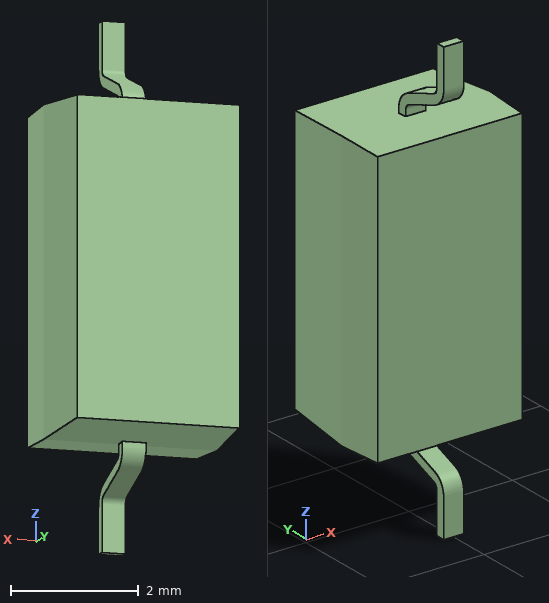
import cadquery as cq
import math

total_length = 8.5
body_width = 2.87
body_length = 5.355

body_front = 0.1
parting_plane = 1.01
body_back = 2.4
back_rim_depth = 0.05

front_draft = 0.03
back_draft = 0.09

lead_width = 0.39
lead_thickness = 0.19
foot_bend_height = 3.25
lead_slope = 20.0
inner_bend_radius = 0.13
outer_bend_radius = 0.36
lead_embed = 0.34


def body_half(y_end, draft):
    """Tapered block from the parting plane to the plane y_end."""
    return (
        cq.Workplane("XZ", origin=(0, parting_plane, 0))
        .rect(body_width, body_length)
        .workplane(offset=parting_plane - y_end)
        .rect(body_width - 2 * draft, body_length - 2 * draft)
        .loft(ruled=True)
    )


def make_body():
    """Front and back tapered halves, with a straight rim along the back face."""
    rim_start = body_back - back_rim_depth
    rim = cq.Workplane("XY").box(
        body_width - 2 * back_draft,
        back_rim_depth,
        body_length - 2 * back_draft,
    ).translate((0, rim_start + back_rim_depth / 2, 0))
    front_half = body_half(body_front, front_draft)
    back_half = body_half(rim_start, back_draft)
    return front_half.union(back_half).union(rim)


def make_lead():
    """Upper lead: a strip bent twice between the body and the mounting plane."""
    slope = math.radians(lead_slope)
    corner_shift = lead_thickness * math.tan((math.pi / 2 - slope) / 2)
    root_bend_height = foot_bend_height - parting_plane * math.tan(slope)
    root_end = body_length / 2 - lead_embed
    lead_back = parting_plane + lead_thickness
    foot_outer = (0, foot_bend_height)
    root_inner = (parting_plane, root_bend_height)
    foot_inner = (lead_thickness, foot_bend_height + corner_shift)
    root_outer = (lead_back, root_bend_height + corner_shift)
    strip = (
        cq.Workplane("YZ")
        .polyline([
            (0, total_length / 2),
            foot_outer,
            root_inner,
            (parting_plane, root_end),
            (lead_back, root_end),
            root_outer,
            foot_inner,
            (lead_thickness, total_length / 2),
        ])
        .close()
        .extrude(lead_width / 2, both=True)
    )
    bends = (
        ((foot_inner, root_inner), inner_bend_radius),
        ((foot_outer, root_outer), outer_bend_radius),
    )
    for corners, radius in bends:
        for y, z in corners:
            strip = strip.edges(cq.selectors.NearestToPointSelector((0, y, z))).fillet(radius)
    return strip


upper_lead = make_lead()
lower_lead = upper_lead.mirror("XY")
result = make_body().union(upper_lead).union(lower_lead)